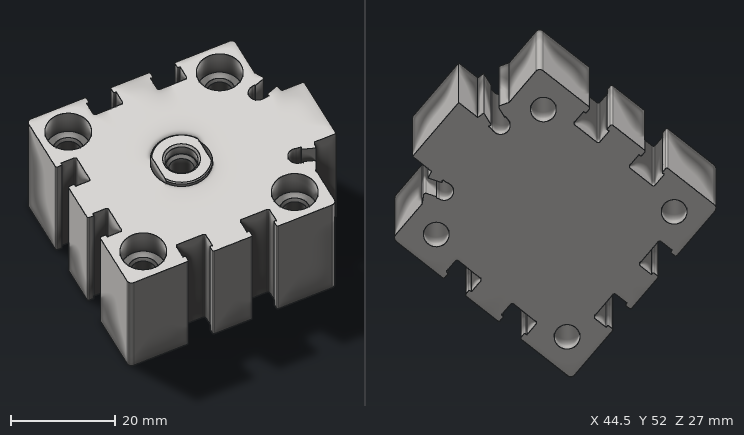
import cadquery as cq
import math

BLOCK_SIDE = 44.5
BLOCK_HEIGHT = 26.0
CORNER_RADIUS = 1.0
HALF_SIDE = BLOCK_SIDE / 2

OVERALL_LENGTH = 52.0
RAIL_WIDTH = 14.05
RAIL_TOP = OVERALL_LENGTH - HALF_SIDE
HALF_RAIL = RAIL_WIDTH / 2

SHOULDER_START_X = 13.2
CROWN_X = 10.6
CROWN_Y = 23.75
LIP_RADIUS = 0.35
HOOK_X = 8.55
HOOK_Y = 24.65
SHOULDER_END_Y = 25.0

SENSOR_TILT = 20.0
SENSOR_X = 8.6
SENSOR_Y = 20.6
SENSOR_CHANNEL_WIDTH = 3.65
SENSOR_CHANNEL_RISE = 1.0
SENSOR_OUTER_REACH = 1.7
SENSOR_RAIL_REACH = 2.1
SENSOR_MOUTH_WIDTH = 3.0
SENSOR_MOUTH_RISE = 6.25

TSLOT_OFFSET = 6.85
TSLOT_MOUTH_WIDTH = 5.2
TSLOT_MOUTH_DEPTH = 1.4
TSLOT_INNER_WIDTH = 6.3
TSLOT_DEPTH = 4.6
TSLOT_EDGE_RADIUS = 0.35
TSLOT_FLOOR_RADIUS = 0.4
TSLOT_LIP_RADIUS = 0.2

MOUNT_SPACING = 32.5
MOUNT_DIAMETER = 4.95
MOUNT_CHAMFER_DIAMETER = 6.0
COUNTERBORE_DIAMETER = 9.0
COUNTERBORE_DEPTH = 5.7

ROD_DIAMETER = 12.0
ROD_TOP = 27.0
ROD_CHAMFER = 0.25
ROD_SEAT_DEPTH = 20.8
SEAT_FLOOR = BLOCK_HEIGHT - ROD_SEAT_DEPTH
ROD_FLATS_WIDTH = 10.0

ROD_HOLE_RIM_DIAMETER = 7.3
ROD_HOLE_DIAMETER = 6.4
ROD_HOLE_DEPTH = 2.55
ROD_STEP_DIAMETER = 6.2
DRILL_DIAMETER = 4.95
DRILL_DEPTH = 13.0
DRILL_POINT_ANGLE = 118.0


def prism(points):
    """Full-height prism of the block over a closed plan outline."""
    return cq.Workplane("XY").polyline(points).close().extrude(BLOCK_HEIGHT)


def plan_box(width, y_low, y_high):
    """Full-height box centred on X = 0 between two Y positions."""
    return (
        cq.Workplane("XY")
        .center(0, (y_low + y_high) / 2)
        .rect(width, y_high - y_low)
        .extrude(BLOCK_HEIGHT)
    )


def shoulder():
    """Raised shoulder on the -X side of the rail, its crown lying inside the slot mouth."""
    return prism([
        (-SHOULDER_START_X, HALF_SIDE),
        (-CROWN_X, CROWN_Y),
        (-HOOK_X, HOOK_Y),
        (-HALF_RAIL, SHOULDER_END_Y),
        (-HALF_RAIL, HALF_SIDE),
    ])


def sensor_slot():
    """Cutter for the sensor slot on the -X side, leaning away from the rail."""
    radius = SENSOR_CHANNEL_WIDTH / 2
    floor = cq.Workplane("XY").circle(radius).extrude(BLOCK_HEIGHT)
    channel = prism([
        (-radius, 0),
        (radius, 0),
        (SENSOR_RAIL_REACH, SENSOR_CHANNEL_RISE),
        (-SENSOR_OUTER_REACH, SENSOR_CHANNEL_RISE),
    ])
    mouth = plan_box(SENSOR_MOUTH_WIDTH, 0, SENSOR_MOUTH_RISE)
    cutter = floor.union(channel).union(mouth)
    return cutter.rotate((0, 0, 0), (0, 0, 1), SENSOR_TILT).translate((-SENSOR_X, SENSOR_Y, 0))


def rounded_corner(x, y, radius, x_side, y_side):
    """Sliver that rounds a convex corner; the sides give the way from corner to material."""
    bulge = radius * (1 - math.sqrt(0.5))
    return (
        cq.Workplane("XY")
        .moveTo(x, y)
        .lineTo(x + x_side * radius, y)
        .threePointArc((x + x_side * bulge, y + y_side * bulge), (x, y + y_side * radius))
        .close()
        .extrude(BLOCK_HEIGHT)
    )


def tslot():
    """Cutter for one T-slot of the -Y side, centred on X = 0, with rounded lips and floor corners."""
    front = -HALF_SIDE
    neck_end = front + TSLOT_MOUTH_DEPTH
    half_mouth = TSLOT_MOUTH_WIDTH / 2
    channel = plan_box(TSLOT_INNER_WIDTH, neck_end, front + TSLOT_DEPTH)
    cutter = channel.edges("|Z and >Y").fillet(TSLOT_FLOOR_RADIUS)
    cutter = cutter.union(plan_box(TSLOT_MOUTH_WIDTH, front, neck_end))
    for side in (-1, 1):
        lip_x = side * half_mouth
        cutter = cutter.union(rounded_corner(lip_x, front, TSLOT_EDGE_RADIUS, side, 1))
        cutter = cutter.union(rounded_corner(lip_x, neck_end, TSLOT_LIP_RADIUS, side, -1))
    return cutter


def mounting_holes():
    """Cutters for the four counterbored holes, chamfered at the counterbore floor."""
    hole_radius = MOUNT_DIAMETER / 2
    chamfer_radius = MOUNT_CHAMFER_DIAMETER / 2
    bore_radius = COUNTERBORE_DIAMETER / 2
    floor_z = BLOCK_HEIGHT - COUNTERBORE_DEPTH
    chamfer_z = floor_z - (chamfer_radius - hole_radius)
    cutter = (
        cq.Workplane("XZ")
        .polyline([
            (0, 0),
            (hole_radius, 0),
            (hole_radius, chamfer_z),
            (chamfer_radius, floor_z),
            (bore_radius, floor_z),
            (bore_radius, BLOCK_HEIGHT),
            (0, BLOCK_HEIGHT),
        ])
        .close()
        .revolve(360, (0, 0, 0), (0, 1, 0))
        .val()
    )
    return (
        cq.Workplane("XY")
        .rect(MOUNT_SPACING, MOUNT_SPACING, forConstruction=True)
        .vertices()
        .eachpoint(lambda place: cutter.moved(place), combine=False)
    )


def round_rod():
    """Round bar of the rod, from the floor of its seat to its chamfered top."""
    return (
        cq.Workplane("XY")
        .workplane(offset=SEAT_FLOOR)
        .circle(ROD_DIAMETER / 2)
        .extrude(ROD_TOP - SEAT_FLOOR)
        .faces(">Z")
        .chamfer(ROD_CHAMFER)
    )


def make_housing():
    """Block with rail, shoulders, sensor slots, T-slots, mounting holes and rod seat."""
    body = plan_box(BLOCK_SIDE, -HALF_SIDE, HALF_SIDE).edges("|Z").fillet(CORNER_RADIUS)
    body = body.union(plan_box(RAIL_WIDTH, 0, RAIL_TOP))
    body = body.union(shoulder()).union(shoulder().mirror("YZ"))
    body = body.cut(sensor_slot()).cut(sensor_slot().mirror("YZ"))
    for side in (-1, 1):
        lip = cq.selectors.NearestToPointSelector((side * CROWN_X, CROWN_Y, BLOCK_HEIGHT / 2))
        body = body.edges("|Z").edges(lip).fillet(LIP_RADIUS)
    for side_angle in (-90, 0, 90):
        for offset in (-TSLOT_OFFSET, TSLOT_OFFSET):
            slot = tslot().translate((offset, 0, 0))
            body = body.cut(slot.rotate((0, 0, 0), (0, 0, 1), side_angle))
    return body.cut(mounting_holes()).cut(round_rod())


def rod_hole():
    """Cutter for the stepped hole: rim chamfer, bore, conical step and drill point."""
    rim_radius = ROD_HOLE_RIM_DIAMETER / 2
    bore_radius = ROD_HOLE_DIAMETER / 2
    step_radius = ROD_STEP_DIAMETER / 2
    drill_radius = DRILL_DIAMETER / 2
    point_length = drill_radius / math.tan(math.radians(DRILL_POINT_ANGLE / 2))
    step_z = ROD_TOP - ROD_HOLE_DEPTH
    drill_z = ROD_TOP - DRILL_DEPTH
    return (
        cq.Workplane("XZ")
        .polyline([
            (0, ROD_TOP),
            (rim_radius, ROD_TOP),
            (bore_radius, ROD_TOP - (rim_radius - bore_radius)),
            (bore_radius, step_z),
            (step_radius, step_z),
            (drill_radius, step_z - (step_radius - drill_radius)),
            (drill_radius, drill_z),
            (0, drill_z - point_length),
        ])
        .close()
        .revolve(360, (0, 0, 0), (0, 1, 0))
    )


def make_rod():
    """Rod with two full-length flats, parallel to X, and the stepped hole."""
    flats = (
        cq.Workplane("XY")
        .workplane(offset=SEAT_FLOOR)
        .rect(ROD_DIAMETER, ROD_FLATS_WIDTH)
        .extrude(ROD_TOP - SEAT_FLOOR)
    )
    return round_rod().intersect(flats).cut(rod_hole())


housing = make_housing()
rod = make_rod()

result = cq.Compound.makeCompound([housing.val(), rod.val()])